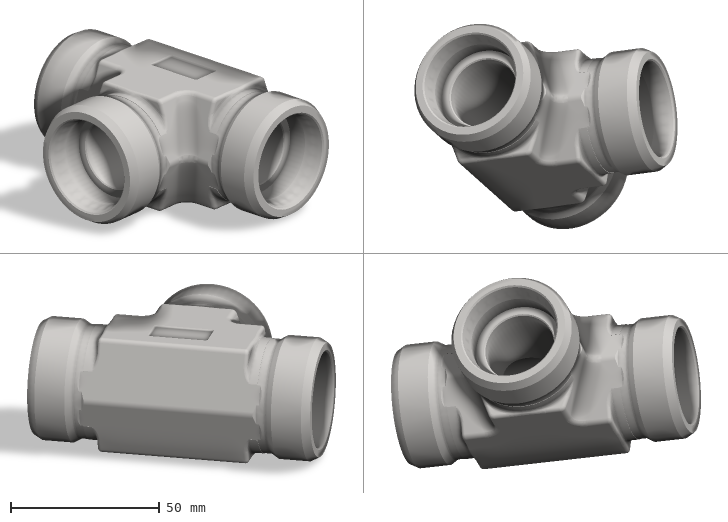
import cadquery as cq
import math

REACH = 49.0
ARM_ANGLES = (0, 180, -90)

BODY_HEIGHT = 41.0
RIDGE_HALF_WIDTH = 20.4
FLANK_ANGLE = 20.0
RIDGE_RADIUS = 3.1
RIM_RADIUS = 2.0
CORNER_RADIUS = 4.9
BODY_END = 31.2
RUNOUT_RISE = 0.5
RUNOUT_LENGTH = 1.2

SHOULDER = 26.1
SHOULDER_RADIUS = 1.0
SHOULDER_EDGE = 1.2
BAND_RADIUS = 19.6
BAND_INNER_HEIGHT = 10.0
RIDGE_END = 29.0
RIDGE_SLOPE_END = 30.2

COLLAR_RADIUS = 42.0 / 2
NECK_RADIUS = 38.9 / 2
MOUTH_CHAMFER_LENGTH = 2.8
COLLAR_LENGTH = 13.2
COLLAR_TAPER_END = 15.8
NECK_ROUND = 1.2

BORE_RADIUS = 24.0 / 2
BORE_CHAMFER = 0.4
SEAT_RADIUS = 30.2 / 2
SEAT_DEPTH = 13.5
CONE_HALF_ANGLE = 12.0
CONE_MOUTH_RADIUS = 16.5
MOUTH_BEVEL = 0.5

PANEL_LENGTH = 20.8
PANEL_WIDTH = 10.8
PANEL_Y = 1.0
PANEL_CORNER = 1.0
PANEL_DEPTH = 0.6
PANEL_DRAFT = 45.0

HALF_HEIGHT = BODY_HEIGHT / 2
TOP_HALF_WIDTH = RIDGE_HALF_WIDTH - HALF_HEIGHT * math.tan(math.radians(FLANK_ANGLE))
CLEAR_RADIUS = 2 * COLLAR_RADIUS
EDGE_MARGIN = 0.1
RIDGE_ZONE = cq.Workplane("XY").box(3 * REACH, 3 * REACH, 2 * BAND_INNER_HEIGHT)


def hexagon(start):
    """Cross-section of an arm along +X, at the given distance from the centre."""
    return cq.Workplane("YZ", origin=(start, 0, 0)).polyline([
        (RIDGE_HALF_WIDTH, 0),
        (TOP_HALF_WIDTH, HALF_HEIGHT),
        (-TOP_HALF_WIDTH, HALF_HEIGHT),
        (-RIDGE_HALF_WIDTH, 0),
        (-TOP_HALF_WIDTH, -HALF_HEIGHT),
        (TOP_HALF_WIDTH, -HALF_HEIGHT),
    ]).close()


def turned(profile):
    """Solid of revolution about X from a closed profile in the XY plane."""
    return profile.close().revolve(360, (0, 0, 0), (1, 0, 0))


def on_each_arm(shape):
    """Copies of a feature made along +X, one for every arm."""
    return [shape.rotate((0, 0, 0), (0, 0, 1), angle) for angle in ARM_ANGLES]


def forged_body():
    """Tee of two hexagonal bars with rounded corners, ridges and rims."""
    through_bar = hexagon(-BODY_END).extrude(2 * BODY_END)
    branch = hexagon(0).extrude(BODY_END).rotate((0, 0, 0), (0, 0, 1), -90)
    body = through_bar.union(branch)
    inner_corners = body.edges("(not #Z) and (not |X) and (not |Y)").edges(
        cq.selectors.BoxSelector(
            (-RIDGE_HALF_WIDTH, -RIDGE_HALF_WIDTH, -HALF_HEIGHT),
            (RIDGE_HALF_WIDTH, -TOP_HALF_WIDTH, HALF_HEIGHT)))
    body = inner_corners.fillet(CORNER_RADIUS)
    body = body.faces("<Z or >Z").edges("not (<X or >X or <Y)").fillet(RIM_RADIUS)
    ridges = body.edges(cq.selectors.BoxSelector(
        (-REACH, -REACH, -EDGE_MARGIN), (REACH, REACH, EDGE_MARGIN), boundingbox=True))
    return ridges.fillet(RIDGE_RADIUS)


def shoulder_cut():
    """Material turned away outside the band, above and below the ridge."""
    ring = turned(
        cq.Workplane("XY")
        .moveTo(BODY_END, BAND_RADIUS)
        .lineTo(SHOULDER + SHOULDER_RADIUS, BAND_RADIUS)
        .radiusArc((SHOULDER, BAND_RADIUS + SHOULDER_RADIUS), SHOULDER_RADIUS)
        .lineTo(SHOULDER, CLEAR_RADIUS)
        .lineTo(BODY_END, CLEAR_RADIUS))
    return ring.cut(RIDGE_ZONE)


def round_shoulders(body):
    """Body with the outer edges of all shoulder walls rounded."""
    slice_box = cq.Workplane("XY", origin=(SHOULDER, 0, 0)).box(2 * EDGE_MARGIN, 2 * REACH, 2 * REACH)
    for wall_slice in on_each_arm(slice_box):
        bounds = wall_slice.val().BoundingBox()
        wall_edges = body.edges(cq.selectors.BoxSelector(
            (bounds.xmin, bounds.ymin, bounds.zmin),
            (bounds.xmax, bounds.ymax, bounds.zmax), boundingbox=True))
        outer_edges = wall_edges.filter(
            lambda edge: edge.geomType() != "CIRCLE" or edge.radius() < BAND_RADIUS)
        body = outer_edges.fillet(SHOULDER_EDGE)
    return body


def band():
    """Turned band at the foot of the shoulder, slightly proud of the flanks."""
    band_start = SHOULDER + SHOULDER_RADIUS
    disc = cq.Workplane("YZ", origin=(band_start, 0, 0)).circle(BAND_RADIUS)
    return disc.extrude(RIDGE_SLOPE_END - band_start).cut(RIDGE_ZONE)


def ridge_cut():
    """Material turned away where the ridge runs down to the neck."""
    return turned(
        cq.Workplane("XY")
        .moveTo(BODY_END, NECK_RADIUS)
        .lineTo(RIDGE_SLOPE_END, NECK_RADIUS)
        .lineTo(RIDGE_END, RIDGE_HALF_WIDTH)
        .lineTo(RIDGE_END, CLEAR_RADIUS)
        .lineTo(BODY_END, CLEAR_RADIUS))


def runout():
    """Start of the neck, where the flanks spread until the neck is round."""
    spread = math.degrees(math.atan(RUNOUT_RISE / RUNOUT_LENGTH))
    flanks = hexagon(BODY_END).extrude(RUNOUT_LENGTH, taper=-spread)
    neck = cq.Workplane("YZ", origin=(BODY_END, 0, 0)).circle(NECK_RADIUS).extrude(RUNOUT_LENGTH)
    return neck.intersect(flanks)


def collar():
    """Neck and threaded collar."""
    neck_start = BODY_END + RUNOUT_LENGTH
    blank = turned(
        cq.Workplane("XY")
        .moveTo(neck_start, 0)
        .lineTo(neck_start, NECK_RADIUS)
        .lineTo(REACH - COLLAR_TAPER_END, NECK_RADIUS)
        .lineTo(REACH - COLLAR_LENGTH, COLLAR_RADIUS)
        .lineTo(REACH - MOUTH_CHAMFER_LENGTH, COLLAR_RADIUS)
        .lineTo(REACH, NECK_RADIUS)
        .lineTo(REACH, 0))
    taper_foot = cq.selectors.BoxSelector(
        (REACH - COLLAR_TAPER_END - EDGE_MARGIN, -REACH, -REACH),
        (REACH - COLLAR_TAPER_END + EDGE_MARGIN, REACH, REACH), boundingbox=True)
    return blank.edges("%CIRCLE").edges(taper_foot).fillet(NECK_ROUND)


def bore():
    """Through bore, tube seat and sealing cone."""
    cone_length = (CONE_MOUTH_RADIUS - SEAT_RADIUS) / math.tan(math.radians(CONE_HALF_ANGLE))
    seat_floor = REACH - SEAT_DEPTH
    return turned(
        cq.Workplane("XY")
        .lineTo(0, BORE_RADIUS)
        .lineTo(seat_floor - BORE_CHAMFER, BORE_RADIUS)
        .lineTo(seat_floor, BORE_RADIUS + BORE_CHAMFER)
        .lineTo(seat_floor, SEAT_RADIUS)
        .lineTo(REACH - MOUTH_BEVEL - cone_length, SEAT_RADIUS)
        .lineTo(REACH - MOUTH_BEVEL, CONE_MOUTH_RADIUS)
        .lineTo(REACH, CONE_MOUTH_RADIUS + MOUTH_BEVEL)
        .lineTo(REACH, 0))


def label_panel():
    """Shallow recess with sloping sides."""
    return (
        cq.Workplane("XY", origin=(0, PANEL_Y, HALF_HEIGHT))
        .sketch().rect(PANEL_LENGTH, PANEL_WIDTH).vertices().fillet(PANEL_CORNER).finalize()
        .extrude(-PANEL_DEPTH, taper=PANEL_DRAFT))


result = forged_body()
for cut in on_each_arm(shoulder_cut()):
    result = result.cut(cut)
result = round_shoulders(result)
for cut in on_each_arm(ridge_cut()):
    result = result.cut(cut)
for part in on_each_arm(band()) + on_each_arm(runout()) + on_each_arm(collar()):
    result = result.union(part)
for cut in on_each_arm(bore()):
    result = result.cut(cut)
result = result.cut(label_panel())